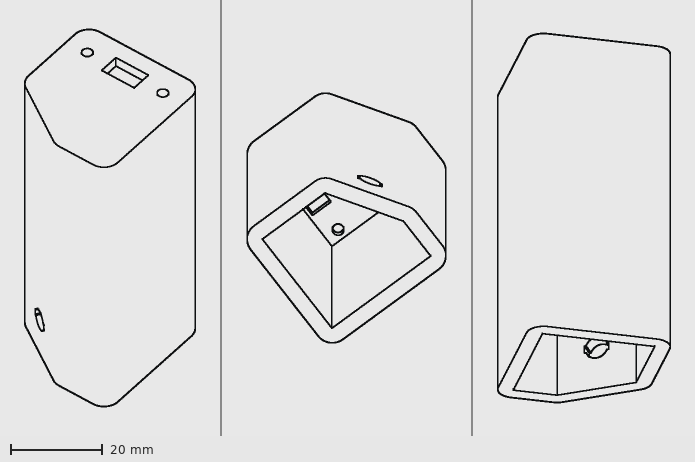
import cadquery as cq
import math

width = 32.15
depth = 33.95
height = 72.4
bevel_x = 17.8
bevel_y = 11.4
corner_radius = 3.85
side_wall = 3.5
top_wall = 2.5

window_width = 9.0
window_depth = 5.1
screw_diameter = 2.5
screw_spacing = 20.85
opening_from_back = 6.8

cable_diameter = 5.1
notch_span = 5.6
notch_height = 1.7
cable_height = 10.2

left = -width / 2
front = -depth / 2
opening_y = depth / 2 - opening_from_back
bevel_angle = math.atan2(bevel_y, bevel_x)


def section():
    """Closed footprint with sharp corners and the bevel at the front left."""
    corners = [
        (left, front + bevel_y),
        (left + bevel_x, front),
        (-left, front),
        (-left, -front),
        (left, -front),
    ]
    return cq.Workplane("XY").polyline(corners).close()


def outer_block():
    """Solid housing with rounded upright edges."""
    return section().extrude(height).edges("|Z").fillet(corner_radius)


def cavity():
    """Hollow of even side wall thickness, running from the open bottom to the top wall."""
    return section().offset2D(-side_wall, "intersection").extrude(height - top_wall)


def top_openings():
    """Rectangular window between two screw holes."""
    base = cq.Workplane("XY", origin=(0, opening_y, height - top_wall))
    window = base.rect(window_width, window_depth).extrude(top_wall)
    screws = [(-screw_spacing / 2, 0), (screw_spacing / 2, 0)]
    return window.union(base.pushPoints(screws).circle(screw_diameter / 2).extrude(top_wall))


def cable_opening():
    """Notched round hole, square to the middle of the flat bevel."""
    left_trim = corner_radius * math.tan((math.pi / 2 - bevel_angle) / 2)
    right_trim = corner_radius * math.tan(bevel_angle / 2)
    along = (math.hypot(bevel_x, bevel_y) + left_trim - right_trim) / 2
    center = (
        left + along * math.cos(bevel_angle),
        front + bevel_y - along * math.sin(bevel_angle),
        cable_height,
    )
    plane = cq.Plane(
        origin=center,
        xDir=(math.cos(bevel_angle), -math.sin(bevel_angle), 0),
        normal=(math.sin(bevel_angle), math.cos(bevel_angle), 0),
    )
    hole = cq.Workplane(plane).circle(cable_diameter / 2).extrude(side_wall)
    return hole.union(cq.Workplane(plane).rect(notch_span, notch_height).extrude(side_wall))


result = outer_block().cut(cavity()).cut(top_openings()).cut(cable_opening())